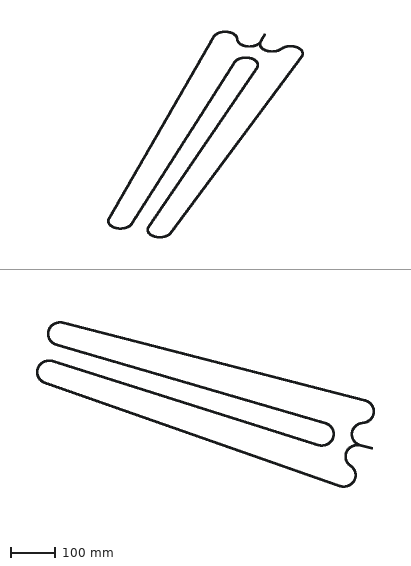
import cadquery as cq
import math

overall_width = 214.5
overall_length = 783.0
wire_diameter = 2.1
bend_radius = 27.5
right_loop_x = 95.0
inner_loop_x = 76.0
inner_loop_y = 635.0
shoulder_y = 708.0

shoulder_spacing = overall_width - wire_diameter - 2 * bend_radius
stem_x = shoulder_spacing / 2
stem_top_y = overall_length - bend_radius - wire_diameter / 2
valley_offset = stem_x - bend_radius
valley_y = shoulder_y + math.sqrt((2 * bend_radius) ** 2 - valley_offset ** 2)

CCW = 1
CW = -1
DOWN = -math.pi / 2
UP = math.pi / 2

bends = [
    ((valley_offset, valley_y), CW),
    ((0, shoulder_y), CCW),
    ((0, 0), CCW),
    ((inner_loop_x, inner_loop_y), CW),
    ((right_loop_x, 0), CCW),
    ((shoulder_spacing, shoulder_y), CCW),
    ((shoulder_spacing - valley_offset, valley_y), CW),
]


def tangent_heading(first, second):
    """Heading of the straight run that leaves one bend and enters the next."""
    (x1, y1), turn1 = first
    (x2, y2), turn2 = second
    distance = math.hypot(x2 - x1, y2 - y1)
    sine = bend_radius * (turn1 - turn2) / distance
    return math.atan2(y2 - y1, x2 - x1) + math.asin(max(-1, min(1, sine)))


def point_on_bend(bend, heading):
    """Point of a bend where the wire runs along the given heading."""
    (x, y), turn = bend
    offset = turn * bend_radius
    return cq.Vector(x + offset * math.sin(heading), y - offset * math.cos(heading), 0)


def wire_edges():
    """Centreline edges: the stem, then every bend joined by its tangent straight runs."""
    touching = 0.001
    inner_headings = [tangent_heading(a, b) for a, b in zip(bends, bends[1:])]
    headings = [DOWN] + inner_headings + [UP]
    edges = []
    end = cq.Vector(stem_x, stem_top_y, 0)
    for bend, entering, leaving in zip(bends, headings, headings[1:]):
        turn = bend[1]
        sweep = (turn * (leaving - entering)) % (2 * math.pi)
        start = point_on_bend(bend, entering)
        if (start - end).Length > touching:
            edges.append(cq.Edge.makeLine(end, start))
        else:
            start = end
        middle = point_on_bend(bend, entering + turn * sweep / 2)
        end = point_on_bend(bend, leaving)
        edges.append(cq.Edge.makeThreePointArc(start, middle, end))
    return edges


def round_wire(edges):
    """Sweep the round section along connected centreline edges."""
    path = cq.Wire.assembleEdges(edges)
    start_plane = cq.Plane(
        origin=edges[0].startPoint(),
        xDir=(0, 0, 1),
        normal=edges[0].tangentAt(0),
    )
    section = cq.Workplane(start_plane).circle(wire_diameter / 2)
    return section.sweep(cq.Workplane(obj=path))


def half_stem_and_valley(edges):
    """Left half of the stem running into the left valley, cut at the stem's middle plane."""
    keep = cq.Workplane().box(
        2 * bend_radius, overall_length, 2 * wire_diameter, centered=(True, False, True)
    )
    return round_wire(edges).intersect(keep.translate((stem_x - bend_radius, 0, 0)))


centreline = wire_edges()
left_half = half_stem_and_valley(centreline[:2])
right_half = left_half.mirror("YZ", (stem_x, 0, 0))
long_run = round_wire(centreline[2:-1])

result = left_half.union(right_half).union(long_run)